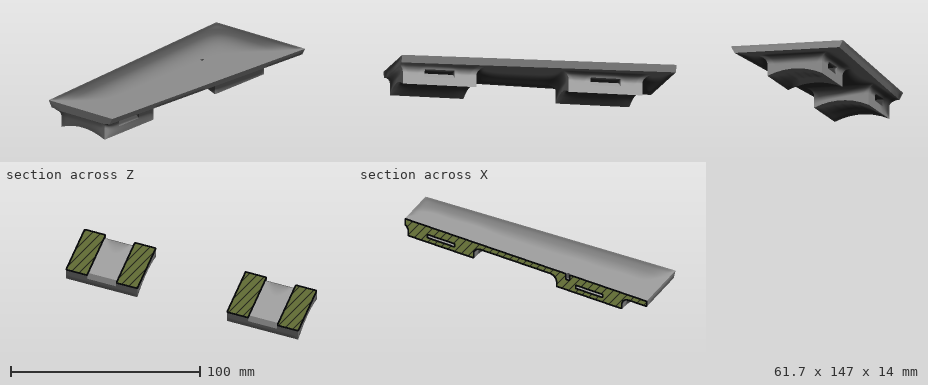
import cadquery as cq

length = 147.0
wide_end = 61.7
narrow_end = 44.1
plate_thickness = 3.7
side_lean = 2.0

total_height = 14.0
foot_width = 30.0
foot_length = 40.0
first_foot_start = 1.9
foot_pitch = 90.1
foot_count = 2
flare_radius = 4.0
saddle_rise = 3.2

slot_length = 16.2
slot_roof_depth = 5.7
slot_floor_depth = 7.5
slot_mouth_drop = 2.2

hole_diameter = 2.0
hole_y = 99.1


def plate_wire(z, narrow_width, wide_width):
    return (
        cq.Workplane("XY", origin=(0, 0, z))
        .polyline([
            (-narrow_width / 2, 0),
            (narrow_width / 2, 0),
            (wide_width / 2, length),
            (-wide_width / 2, length),
        ])
        .close()
        .val()
    )


def make_plate():
    top = plate_wire(0, narrow_end, wide_end)
    bottom = plate_wire(
        -plate_thickness, narrow_end - 2 * side_lean, wide_end - 2 * side_lean
    )
    return cq.Workplane(cq.Solid.makeLoft([bottom, top], True))


def make_foot_block(middle):
    """Straight-walled foot with a flared root and a thin pad sunk into the plate."""
    pad_thickness = plate_thickness / 2
    flare_reach = 2 * flare_radius
    block = cq.Workplane("XY", origin=(0, middle, -total_height)).rect(foot_width, foot_length)
    block = block.extrude(total_height - plate_thickness)
    pad = (
        cq.Workplane("XY", origin=(0, middle, -plate_thickness))
        .rect(foot_width + flare_reach, foot_length + flare_reach)
        .extrude(pad_thickness)
    )

    blank_margin = 1.5
    blank = (
        cq.Workplane("XY", origin=(0, middle, -plate_thickness))
        .rect(foot_width + flare_reach + blank_margin, foot_length + flare_reach + blank_margin)
        .extrude(pad_thickness)
    )
    reach = flare_radius / 2
    root_edges = cq.selectors.BoxSelector(
        (-foot_width / 2 - reach, middle - foot_length / 2 - reach, -plate_thickness - reach / 2),
        (foot_width / 2 + reach, middle + foot_length / 2 + reach, -plate_thickness + reach / 2),
    )
    flared = block.union(blank).edges(root_edges).fillet(flare_radius)
    return flared.cut(blank.cut(pad))


def make_saddle(middle):
    """Tool with an arched top, hollowing the underside of a foot."""
    half_width = foot_width / 2
    return (
        cq.Workplane("XZ", origin=(0, middle + foot_length / 2, -total_height))
        .moveTo(-half_width, 0)
        .threePointArc((0, saddle_rise), (half_width, 0))
        .close()
        .extrude(foot_length)
    )


def make_slot(middle):
    half_width = foot_width / 2
    outer_x = half_width + flare_radius
    crest_x = half_width - slot_mouth_drop
    mouth_depth = slot_floor_depth + slot_mouth_drop
    return (
        cq.Workplane("XZ", origin=(0, middle + slot_length / 2, 0))
        .polyline([
            (-outer_x, -slot_roof_depth),
            (outer_x, -slot_roof_depth),
            (outer_x, -mouth_depth),
            (half_width, -mouth_depth),
            (crest_x, -slot_floor_depth),
            (-crest_x, -slot_floor_depth),
            (-half_width, -mouth_depth),
            (-outer_x, -mouth_depth),
        ])
        .close()
        .extrude(slot_length)
    )


def make_foot(middle):
    return make_foot_block(middle).cut(make_saddle(middle)).cut(make_slot(middle))


result = make_plate()
for index in range(foot_count):
    foot_middle = first_foot_start + index * foot_pitch + foot_length / 2
    result = result.union(make_foot(foot_middle))

envelope = cq.Workplane("XY", origin=(0, length / 2, -total_height))
envelope = envelope.rect(wide_end, length).extrude(total_height)
result = result.intersect(envelope)

hole = cq.Workplane("XY").center(0, hole_y).circle(hole_diameter / 2).extrude(-plate_thickness)
result = result.cut(hole)